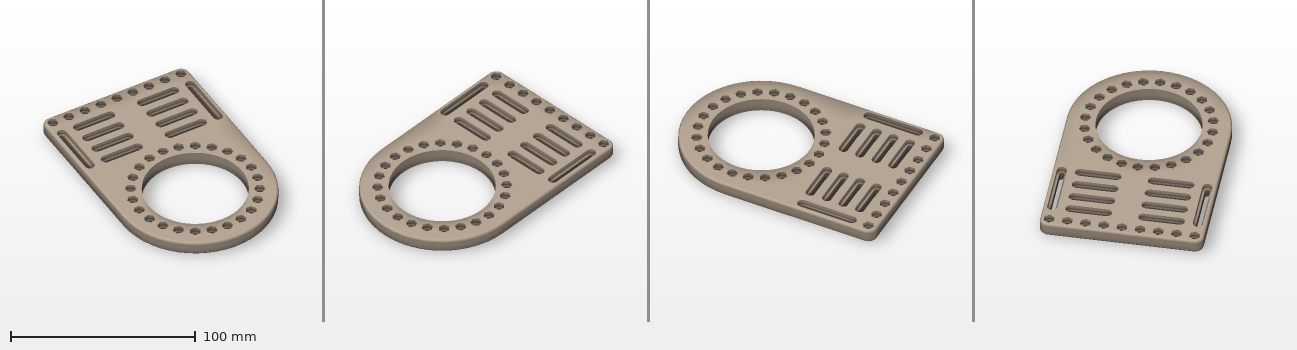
import cadquery as cq
import math

length = 135.0
width = 90.0
thickness = 8.0
corner_radius = 5.0
rim_fillet = 1.5
end_radius = width / 2
end_center_x = length - end_radius

bore_diameter = 58.0

screw_width = 3.0
nut_width = 5.5
recess_depth = 3.0
nut_corner_diameter = nut_width / math.cos(math.pi / 6)

ring_radius = 35.0
ring_count = 24

column_inset = corner_radius
column_count = 9
pitch = (width - 2 * column_inset) / (column_count - 1)

slot_columns = 4
first_slot_x = column_inset + pitch
cross_slot_travel = 2 * pitch
cross_slot_y = 2 * pitch
side_slot_travel = (slot_columns - 1) * pitch
side_slot_x = first_slot_x + side_slot_travel / 2
side_slot_y = width / 2 - column_inset


def make_plate():
    """Flat blank with its vertical corners and both rims rounded."""
    blank = (
        cq.Workplane("XY")
        .moveTo(0, -width / 2)
        .lineTo(end_center_x, -width / 2)
        .radiusArc((length, 0), -end_radius)
        .radiusArc((end_center_x, width / 2), -end_radius)
        .lineTo(0, width / 2)
        .close()
        .extrude(thickness)
    )
    blank = blank.edges("|Z and <X").fillet(corner_radius)
    return blank.faces("<Z or >Z").edges().fillet(rim_fillet)


def cut_nut_hole(plate, x, y, angle=0):
    """Through hole with a hexagonal recess; a corner points along angle (degrees)."""
    hole = cq.Workplane("XY").center(x, y).circle(screw_width / 2).extrude(thickness)
    recess = (
        cq.Workplane("XY")
        .transformed(offset=(x, y, thickness), rotate=(0, 0, angle))
        .polygon(6, nut_corner_diameter)
        .extrude(-recess_depth)
    )
    return plate.cut(hole).cut(recess)


def cut_slots(plate, points, travel, angle):
    """Through slots with wider recesses; travel is the straight length."""
    openings = (
        cq.Workplane("XY")
        .pushPoints(points)
        .slot2D(travel + screw_width, screw_width, angle)
        .extrude(thickness)
    )
    recesses = (
        cq.Workplane("XY")
        .workplane(offset=thickness)
        .pushPoints(points)
        .slot2D(travel + nut_width, nut_width, angle)
        .extrude(-recess_depth)
    )
    return plate.cut(openings).cut(recesses)


result = make_plate()

bore = cq.Workplane("XY").center(end_center_x, 0).circle(bore_diameter / 2).extrude(thickness)
result = result.cut(bore)

for i in range(ring_count):
    angle = i * 360 / ring_count
    x = end_center_x + ring_radius * math.cos(math.radians(angle))
    y = ring_radius * math.sin(math.radians(angle))
    result = cut_nut_hole(result, x, y, angle)

for i in range(column_count):
    y = (i - (column_count - 1) / 2) * pitch
    result = cut_nut_hole(result, column_inset, y)

cross_slot_points = [
    (first_slot_x + i * pitch, side * cross_slot_y)
    for i in range(slot_columns)
    for side in (-1, 1)
]
result = cut_slots(result, cross_slot_points, cross_slot_travel, 90)

side_slot_points = [(side_slot_x, side * side_slot_y) for side in (-1, 1)]
result = cut_slots(result, side_slot_points, side_slot_travel, 0)